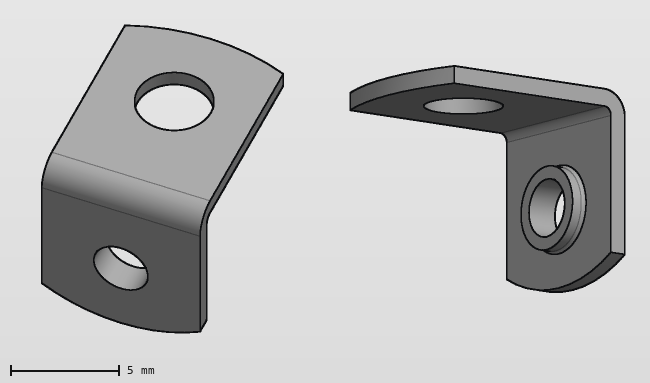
import cadquery as cq

width = 7.92
top_length = 10.64
front_height = 8.69
thickness = 0.82
bend_outer_radius = 1.2
bend_inner_radius = bend_outer_radius - thickness

top_end_bow = 0.75
front_end_bow = 1.04

top_hole_diameter = 3.66
top_hole_offset = 6.34
front_hole_diameter = 2.7
front_hole_offset = 5.01

boss_diameter = 3.92
boss_height = 0.69
flare_length = 0.2
flare_width = 0.12


def flange_blank(plane, length, end_bow):
    """Plate with its straight end on the bend and a bowed free end."""
    half_width = width / 2
    shoulder = length - end_bow
    return (
        cq.Workplane(plane)
        .moveTo(-half_width, 0)
        .lineTo(half_width, 0)
        .lineTo(half_width, shoulder)
        .threePointArc((0, length), (-half_width, shoulder))
        .close()
        .extrude(thickness)
    )


def make_bracket():
    """Two flanges at a right angle with a rounded bend between them."""
    top_plane = cq.Plane(origin=(0, 0, -thickness), xDir=(1, 0, 0), normal=(0, 0, 1))
    front_plane = cq.Plane(origin=(0, 0, 0), xDir=(1, 0, 0), normal=(0, 1, 0))
    top_flange = flange_blank(top_plane, top_length, top_end_bow)
    front_flange = flange_blank(front_plane, front_height, front_end_bow)
    bracket = top_flange.union(front_flange)
    inner_corner = cq.selectors.NearestToPointSelector((0, thickness, -thickness))
    bracket = bracket.edges(inner_corner).fillet(bend_inner_radius)
    outer_corner = cq.selectors.NearestToPointSelector((0, 0, 0))
    return bracket.edges(outer_corner).fillet(bend_outer_radius)


def make_boss():
    """Round boss whose flare leaves the cylinder tangentially."""
    radius = boss_diameter / 2
    boss_end = thickness + boss_height
    return (
        cq.Workplane("XY")
        .lineTo(0, boss_end)
        .lineTo(radius, boss_end)
        .lineTo(radius, thickness + flare_length)
        .tangentArcPoint((radius + flare_width, thickness), relative=False)
        .lineTo(radius + flare_width, 0)
        .close()
        .revolve(360, (0, 0, 0), (0, 1, 0))
        .translate((0, 0, -front_hole_offset))
    )


top_hole = (
    cq.Workplane("XY")
    .center(0, top_hole_offset)
    .circle(top_hole_diameter / 2)
    .extrude(-thickness)
)
front_hole = (
    cq.Workplane("XZ")
    .center(0, -front_hole_offset)
    .circle(front_hole_diameter / 2)
    .extrude(-(thickness + boss_height))
)

result = make_bracket().union(make_boss()).cut(top_hole).cut(front_hole)